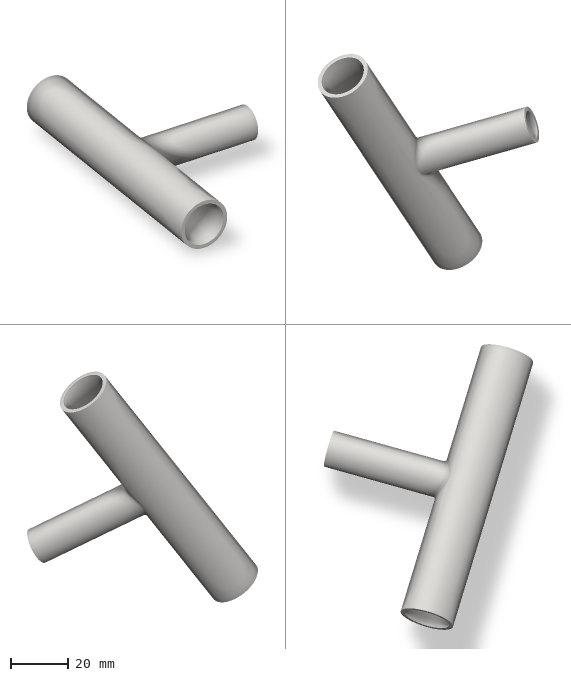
import cadquery as cq

run_length = 100.0
run_outer_diameter = 19.0
run_bore_diameter = 16.0

branch_reach = 50.0
branch_outer_diameter = 13.0
branch_bore_diameter = 10.0

weld_radius = 1.0


def run_cylinder(diameter):
    """Full-length cylinder along X."""
    return cq.Workplane("YZ").circle(diameter / 2).extrude(run_length / 2, both=True)


def branch_cylinder(diameter):
    """Cylinder from the run axis to the branch end along +Y."""
    return cq.Workplane("XZ").circle(diameter / 2).extrude(-branch_reach)


body = run_cylinder(run_outer_diameter).union(branch_cylinder(branch_outer_diameter))
junction_half_width = branch_outer_diameter / 2 + weld_radius
junction_edges = cq.selectors.BoxSelector(
    (-junction_half_width, 0, -junction_half_width),
    (junction_half_width, run_outer_diameter / 2 + weld_radius, junction_half_width),
)
body = body.edges(junction_edges).fillet(weld_radius)

result = body.cut(run_cylinder(run_bore_diameter)).cut(branch_cylinder(branch_bore_diameter))